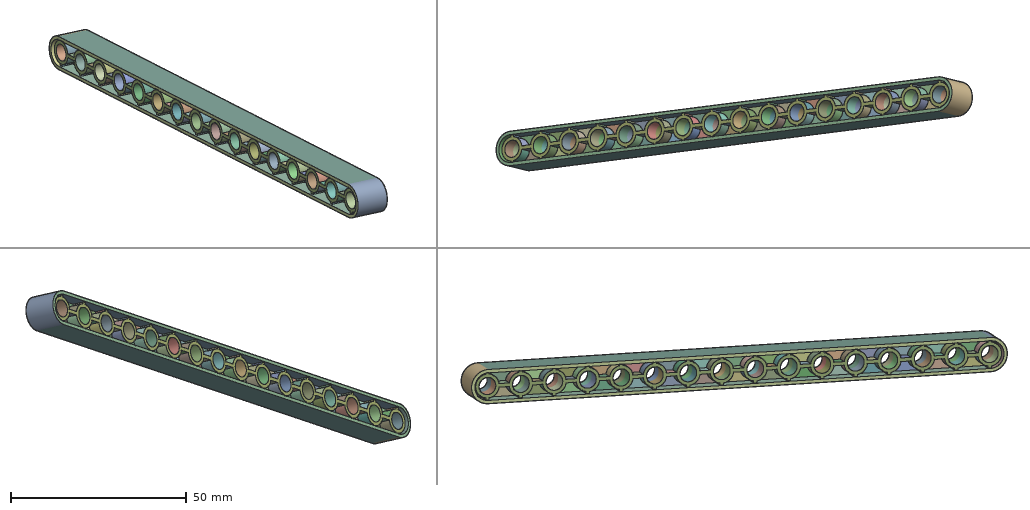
import cadquery as cq

LENGTH = 160.0
HOLE_COUNT = 16
HOLE_DIAMETER = 5.0
RIM_THICKNESS = 1.0
COLLAR_DIAMETER = 7.0
RIB_THICKNESS = 1.04
STUB_THICKNESS = 1.04
POCKET_DEPTH = 4.5
COLLAR_SETBACK = 0.8

PITCH = LENGTH / HOLE_COUNT
HEIGHT = PITCH
DEPTH = PITCH
INNER_HEIGHT = HEIGHT - 2 * RIM_THICKNESS
HOLE_SPAN = LENGTH - PITCH
COLLAR_LENGTH = DEPTH - 2 * COLLAR_SETBACK
WEB_THICKNESS = DEPTH - 2 * POCKET_DEPTH
HOLE_CENTERS = [(i * PITCH - HOLE_SPAN / 2, 0) for i in range(HOLE_COUNT)]


def mid_plane():
    """Sketch plane halfway through the beam, facing the -Y side."""
    return cq.Workplane("XZ")


def rounded_bar(height, depth):
    """Bar with full-round ends centered on the outermost holes."""
    return mid_plane().slot2D(HOLE_SPAN + height, height).extrude(depth / 2, both=True)


def round_bars(diameter, depth):
    """One cylinder at every hole position."""
    return mid_plane().pushPoints(HOLE_CENTERS).circle(diameter / 2).extrude(depth / 2, both=True)


rim = rounded_bar(HEIGHT, DEPTH).cut(rounded_bar(INNER_HEIGHT, DEPTH))

web = rounded_bar(INNER_HEIGHT, WEB_THICKNESS)

collars = round_bars(COLLAR_DIAMETER, COLLAR_LENGTH)
rib = mid_plane().rect(HOLE_SPAN, RIB_THICKNESS).extrude(COLLAR_LENGTH / 2, both=True)
stubs = (
    mid_plane()
    .pushPoints(HOLE_CENTERS)
    .rect(STUB_THICKNESS, HEIGHT - RIM_THICKNESS)
    .extrude(COLLAR_LENGTH / 2, both=True)
)

holes = round_bars(HOLE_DIAMETER, DEPTH)
result = rim.union(web).union(collars).union(rib).union(stubs).cut(holes)